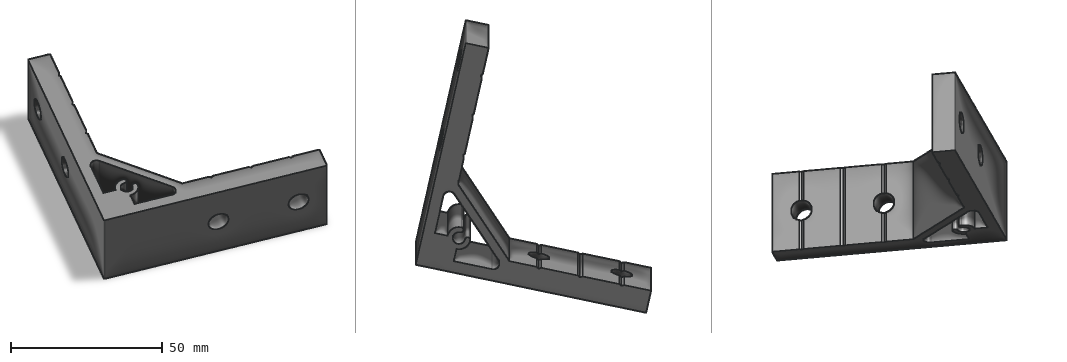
import cadquery as cq
import math

leg_length = 78.0
height = 28.0
leg_thickness = 7.8
edge_radius = 0.2

brace_reach = 30.0
brace_thickness = 2.9
cavity_wall = 3.9
cavity_corner_radius = 2.0
block_size = 12.0

ring_outer_radius = 3.8
ring_inner_radius = 2.0

hole_diameter = 7.0
groove_positions = [10.0, 24.0, 38.0]
hole_positions = [groove_positions[0], groove_positions[-1]]
groove_width = 1.55
groove_depth = 0.5


def swap_legs(body):
    """Carry a body from one leg to the other by a half turn about the corner bisector at mid height."""
    return body.rotate((leg_length, 0, height / 2), (0, leg_length, height / 2), 180)


def make_body():
    """Solid L-shaped bracket with its diagonal corner filled in."""
    inner_face = leg_length - leg_thickness
    brace_foot = leg_length - brace_reach
    body = (
        cq.Workplane("XY")
        .moveTo(0, 0)
        .lineTo(leg_length, 0)
        .lineTo(leg_length, leg_length)
        .lineTo(inner_face, leg_length)
        .lineTo(inner_face, brace_reach)
        .lineTo(brace_foot, leg_thickness)
        .lineTo(0, leg_thickness)
        .close()
        .extrude(height)
    )
    return body.edges("|Z and (<X or >X or >Y)").fillet(edge_radius)


def make_cavity():
    """Triangular hollow behind the brace, less the solid block in the outer corner."""
    cavity_reach = brace_reach + leg_thickness - brace_thickness * math.sqrt(2) - cavity_wall
    wall_face = leg_length - cavity_wall
    triangle = (
        cq.Workplane("XY")
        .moveTo(wall_face, cavity_wall)
        .lineTo(wall_face, cavity_reach)
        .lineTo(leg_length - cavity_reach, cavity_wall)
        .close()
        .extrude(height)
        .edges("|Z and (<X or >Y)")
        .fillet(cavity_corner_radius)
    )
    block = cq.Workplane("XY").rect(2 * block_size, 2 * block_size).extrude(height)
    return triangle.cut(block.translate((leg_length, 0, 0)))


def make_ring():
    """Three-quarter ring, open towards the brace, with rounded lips."""
    lip_radius = (ring_outer_radius - ring_inner_radius) / 2
    lip_offset = (ring_outer_radius + ring_inner_radius) / 2
    opening = (
        cq.Workplane("XY")
        .rect(ring_outer_radius, ring_outer_radius, centered=False)
        .extrude(height)
        .rotate((0, 0, 0), (0, 0, 1), 90)
    )
    lips = (
        cq.Workplane("XY")
        .pushPoints([(0, lip_offset), (-lip_offset, 0)])
        .circle(lip_radius)
        .extrude(height)
    )
    ring = cq.Workplane("XY").circle(ring_outer_radius).extrude(height).cut(opening).union(lips)
    return ring.translate((leg_length - block_size, block_size, 0))


def make_ring_bore():
    """Bore of the screw ring, which also bites into the solid block."""
    bore = cq.Workplane("XY").circle(ring_inner_radius).extrude(height)
    return bore.translate((leg_length - block_size, block_size, 0))


def make_leg_cuts():
    """Bolt holes and V grooves of the leg that lies along X."""
    cuts = (
        cq.Workplane("XZ")
        .pushPoints([(x, height / 2) for x in hole_positions])
        .circle(hole_diameter / 2)
        .extrude(-leg_thickness)
    )
    for x in groove_positions:
        groove = (
            cq.Workplane("XY")
            .moveTo(x - groove_width / 2, leg_thickness)
            .lineTo(x, leg_thickness - groove_depth)
            .lineTo(x + groove_width / 2, leg_thickness)
            .close()
            .extrude(height)
        )
        cuts = cuts.union(groove)
    return cuts


leg_cuts = make_leg_cuts()
result = (
    make_body()
    .cut(make_cavity())
    .union(make_ring())
    .cut(make_ring_bore())
    .cut(leg_cuts)
    .cut(swap_legs(leg_cuts))
)